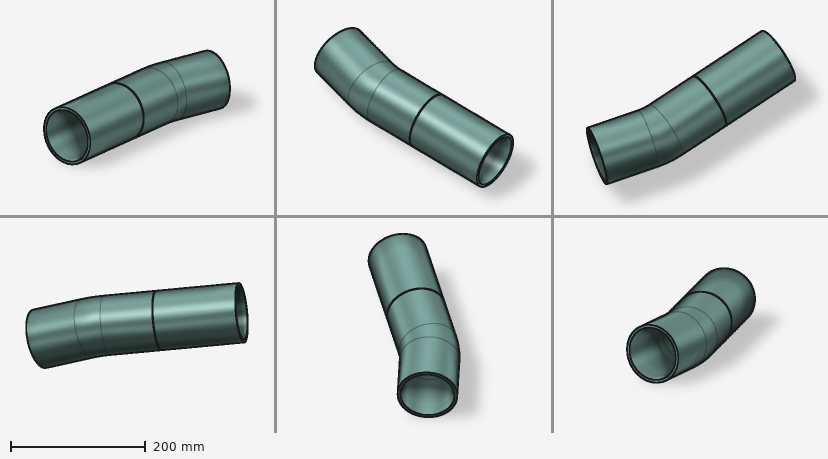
import cadquery as cq
import math

total_length = 323.0
outer_diameter = 89.0
wall = 4.5
bend_angle = 15.0
lower_length = 125.0
upper_length = 80.0
joint_gap = 1.0
joint_depth = 0.3

outer_radius = outer_diameter / 2
inner_diameter = outer_diameter - 2 * wall
sine = math.sin(math.radians(bend_angle))
cosine = math.cos(math.radians(bend_angle))
straight_length = lower_length + upper_length
bend_rise = total_length - straight_length - upper_length * cosine - outer_radius * sine
bend_radius = bend_rise / sine


def bent_rod(diameter):
    """Solid round bar following the centerline of the pipe."""
    half_angle = math.radians(bend_angle / 2)
    bend_middle = (
        bend_radius * (1 - math.cos(half_angle)),
        straight_length + bend_radius * math.sin(half_angle),
    )
    bend_end = (bend_radius * (1 - cosine), straight_length + bend_rise)
    arm_end = (bend_end[0] + upper_length * sine, bend_end[1] + upper_length * cosine)
    centerline = (
        cq.Workplane("XY")
        .lineTo(0, straight_length)
        .threePointArc(bend_middle, bend_end)
        .lineTo(*arm_end)
    )
    return cq.Workplane("XZ").circle(diameter / 2).sweep(centerline)


def joint_groove():
    """Shallow ring cut around the outside, just past the pipe joint."""
    return (
        cq.Workplane("XZ", origin=(0, lower_length, 0))
        .circle(outer_radius + joint_depth)
        .circle(outer_radius - joint_depth)
        .extrude(-joint_gap)
    )


result = bent_rod(outer_diameter).cut(bent_rod(inner_diameter)).cut(joint_groove())